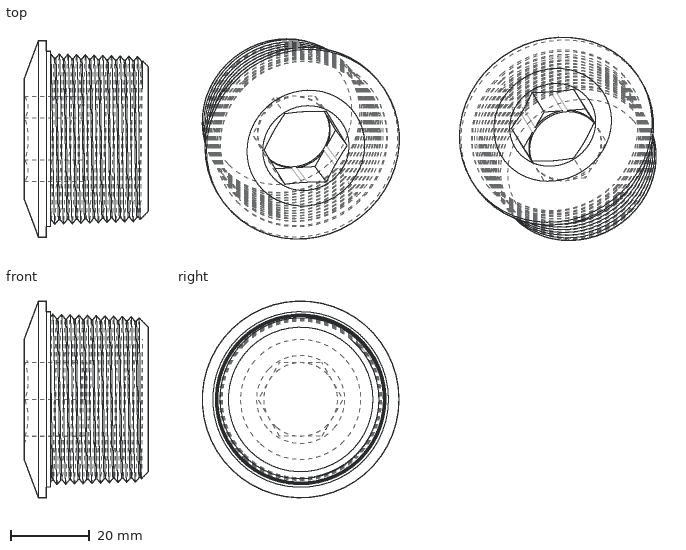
import cadquery as cq
import math

cone_end = 3.65
flange_end = 5.7
collar_end = 6.75
length = 31.6

face_diameter = 30.5
flange_diameter = 50.0
collar_diameter = 44.6

taper_slope = 1 / 32
taper_angle = math.degrees(math.atan(taper_slope))
crest_radius = 21.9
thread_height = 1.1
tooth_width = 2.1
tooth_embed = 0.15
first_crest_x = 9.5
last_crest_x = 29.4
turns_between = 9
thread_pitch = (last_crest_x - first_crest_x) / turns_between
turns_before = 2
thread_turns = 13
tip_radius = 18.35

hex_flats = 18.65
bore_diameter = 18.7
countersink_diameter = 22.35
countersink_angle = 30.0
hex_depth = 15.0
bore_depth = 16.0


def revolve_about_x(points):
    """Turn a closed (x, radius) outline about the plug axis."""
    return cq.Workplane("XY").polyline(points).close().revolve(360, (0, 0, 0), (1, 0, 0))


def crest_radius_at(x):
    return crest_radius - taper_slope * x


def root_radius_at(x):
    return crest_radius_at(x) - thread_height


def make_head():
    return revolve_about_x([
        (0, 0),
        (0, face_diameter / 2),
        (cone_end, flange_diameter / 2),
        (flange_end, flange_diameter / 2),
        (flange_end, collar_diameter / 2),
        (collar_end, collar_diameter / 2),
        (collar_end, 0),
    ])


def make_core():
    return revolve_about_x([
        (cone_end, 0),
        (cone_end, root_radius_at(cone_end)),
        (length, root_radius_at(length)),
        (length, 0),
    ])


def make_thread():
    """Right-hand ridge along a tapered helix, built along Z and laid onto X."""
    start_x = first_crest_x - turns_before * thread_pitch
    start_radius = root_radius_at(start_x)
    half_base = tooth_width / 2
    tooth_corners = [
        (-tooth_embed, -half_base),
        (thread_height, 0),
        (-tooth_embed, half_base),
    ]
    edges = [
        cq.Wire.makeHelix(
            thread_pitch,
            thread_pitch * thread_turns,
            start_radius + rise,
            center=cq.Vector(0, 0, shift),
            angle=-taper_angle,
        )
        for rise, shift in tooth_corners
    ]
    faces = [
        cq.Face.makeRuledSurface(edges[i], edges[i - 1]) for i in range(len(edges))
    ]
    for end in (cq.Wire.startPoint, cq.Wire.endPoint):
        cap = cq.Wire.makePolygon([end(edge) for edge in edges], close=True)
        faces.append(cq.Face.makeFromWires(cap))
    ridge = cq.Workplane(cq.Solid.makeSolid(cq.Shell.makeShell(faces)))
    return (
        ridge.rotate((0, 0, 0), (0, 0, 1), 180)
        .rotate((0, 0, 0), (0, 1, 0), 90)
        .translate((start_x, 0, 0))
    )


def make_tip_envelope():
    """Everything inside the 45 degree chamfer at the threaded end."""
    outer_radius = flange_diameter / 2
    return revolve_about_x([
        (0, 0),
        (0, outer_radius),
        (length - (outer_radius - tip_radius), outer_radius),
        (length, tip_radius),
        (length, 0),
    ])


def make_socket():
    hex_corners = hex_flats / math.cos(math.radians(30))
    hexagon = cq.Workplane("YZ").polygon(6, hex_corners).extrude(hex_depth)
    bore = cq.Workplane("YZ").circle(bore_diameter / 2).extrude(bore_depth)
    mouth_radius = countersink_diameter / 2
    countersink_depth = mouth_radius * math.tan(math.radians(countersink_angle))
    countersink = revolve_about_x([(0, 0), (0, mouth_radius), (countersink_depth, 0)])
    return hexagon.union(bore).union(countersink)


threaded_shank = make_core().union(make_thread()).intersect(make_tip_envelope())
result = make_head().union(threaded_shank).cut(make_socket())